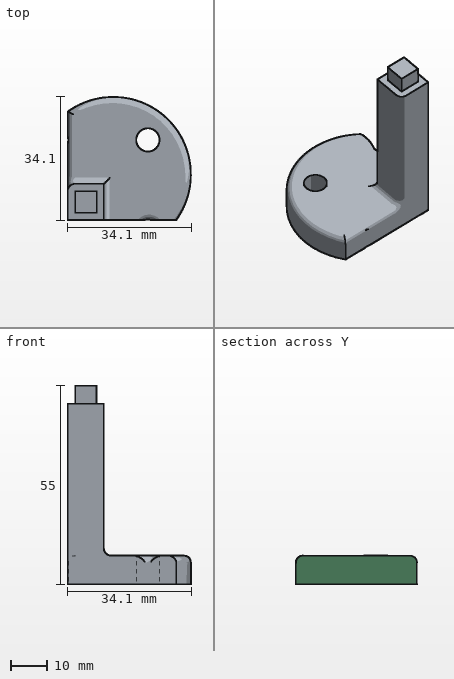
import cadquery as cq
import math

total_height = 55.0
side_length = 34.1
disc_radius = 21.5
plate_thickness = 8.0
column_side = 10.0
tenon_side = 6.0
tenon_height = 5.0
edge_radius = 2.0
hole_diameter = 6.4
hole_position = 22.15
notch_offset = 3.1

disc_center = side_length - disc_radius
column_height = total_height - tenon_height
hole_radius = hole_diameter / 2
shoulder_height = plate_thickness - edge_radius


def box_from_corner(width, depth, height):
    return cq.Workplane("XY").box(width, depth, height, centered=False)


def make_body():
    """Trimmed disc and corner column, blended together and rounded."""
    disc = (
        cq.Workplane("XY")
        .center(disc_center, disc_center)
        .circle(disc_radius)
        .extrude(plate_thickness)
    )
    plate = disc.intersect(box_from_corner(side_length, side_length, plate_thickness))
    column = box_from_corner(column_side, column_side, column_height)
    body = plate.union(column)

    back_foot = cq.selectors.NearestToPointSelector((column_side / 2, column_side, plate_thickness))
    side_foot = cq.selectors.NearestToPointSelector((column_side, column_side / 2, plate_thickness))
    body = body.edges(back_foot + side_foot).fillet(edge_radius)

    rim_reach = disc_radius * math.sqrt(0.5)
    rim_point = (disc_center + rim_reach, disc_center + rim_reach, plate_thickness)
    left_point = (0, side_length / 2, plate_thickness)
    rim = cq.selectors.NearestToPointSelector(rim_point)
    left_edge = cq.selectors.NearestToPointSelector(left_point)
    return body.edges(rim + left_edge).fillet(edge_radius)


def make_tenon():
    """Square pin centred on top of the column."""
    return (
        cq.Workplane("XY", origin=(column_side / 2, column_side / 2, column_height))
        .rect(tenon_side, tenon_side)
        .extrude(tenon_height)
    )


def hole_cutter(x, y):
    return cq.Workplane("XY").center(x, y).circle(hole_radius).extrude(plate_thickness)


def flared_cutter(x, y):
    """Hole whose upper rim rolls outward in a convex quarter round."""
    flare_radius = hole_radius + edge_radius
    arc_inset = edge_radius * math.sqrt(0.5)
    arc_middle = (flare_radius - arc_inset, shoulder_height + arc_inset)
    return (
        cq.Workplane("XZ")
        .lineTo(hole_radius, 0)
        .lineTo(hole_radius, shoulder_height)
        .threePointArc(arc_middle, (flare_radius, plate_thickness))
        .lineTo(0, plate_thickness)
        .close()
        .revolve(360, (0, 0, 0), (0, 1, 0))
        .translate((x, y, 0))
    )


result = (
    make_body()
    .union(make_tenon())
    .cut(hole_cutter(hole_position, hole_position))
    .cut(hole_cutter(-notch_offset, hole_position))
    .cut(flared_cutter(hole_position, -notch_offset))
)